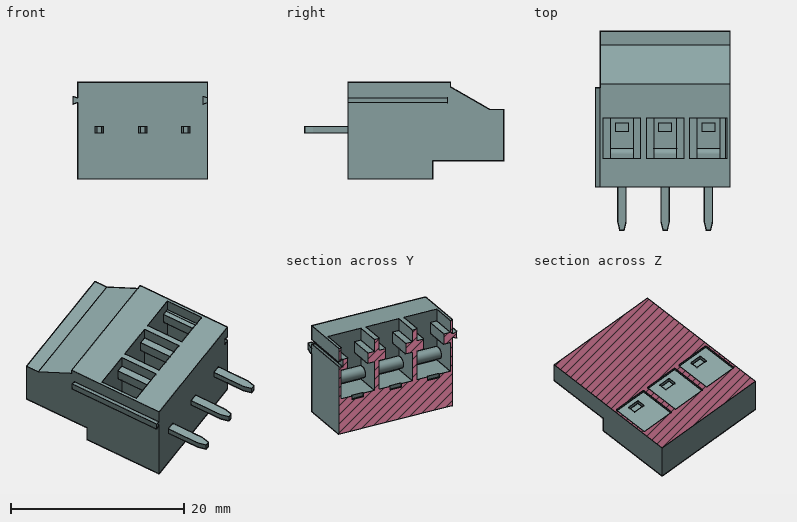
import cadquery as cq

pole_count = 3
pitch = 5.0
housing_width = 15.0
housing_depth = 18.0
housing_height = 11.2
undercut_height = 2.12
undercut_y = 9.82
shoulder_height = 8.05
slope_bottom_y = 16.4
slope_top_y = 11.87
slope_top_z = 10.65

dovetail_length = 11.48
dovetail_depth = 0.55
dovetail_center_z = 9.1
dovetail_root = 0.55
dovetail_tip = 0.92

first_pole_x = 2.5
pin_width = 1.0
pin_thickness = 0.78
pin_z = 5.7
pin_length = 5.0
pin_taper_length = 1.0
pin_tip_width = 0.5

pocket_width = 4.32
pocket_front_y = 3.31
pocket_length = 4.65
pocket_floor_z = 4.6
guide_width = 0.85
guide_top_z = 9.65
guide_bottom_z = 8.25

tongue_flat_length = 0.45
tongue_nose_radius = 0.67

recess_width = 1.5
recess_length = 1.01
recess_depth = 0.45
recess_center_y = 6.9


def block(width, length, bottom, top, x, y):
    """Box centred on x and y that spans bottom to top."""
    return (
        cq.Workplane("XY", origin=(x, y, bottom))
        .rect(width, length)
        .extrude(top - bottom)
    )


def housing():
    profile = [
        (0, 0),
        (undercut_y, 0),
        (undercut_y, undercut_height),
        (housing_depth, undercut_height),
        (housing_depth, shoulder_height),
        (slope_bottom_y, shoulder_height),
        (slope_top_y, slope_top_z),
        (slope_top_y, housing_height),
        (0, housing_height),
    ]
    return cq.Workplane("YZ").polyline(profile).close().extrude(housing_width)


def dovetail(root_x):
    """Dovetail bar that widens from root_x towards -X."""
    tip_x = root_x - dovetail_depth
    outline = [
        (root_x, dovetail_center_z - dovetail_root / 2),
        (root_x, dovetail_center_z + dovetail_root / 2),
        (tip_x, dovetail_center_z + dovetail_tip / 2),
        (tip_x, dovetail_center_z - dovetail_tip / 2),
    ]
    return cq.Workplane("XZ").polyline(outline).close().extrude(-dovetail_length)


def pin(x):
    taper_y = pin_taper_length - pin_length
    outline = [
        (x - pin_width / 2, 0),
        (x - pin_width / 2, taper_y),
        (x - pin_tip_width / 2, -pin_length),
        (x + pin_tip_width / 2, -pin_length),
        (x + pin_width / 2, taper_y),
        (x + pin_width / 2, 0),
    ]
    base = cq.Workplane("XY", origin=(0, 0, pin_z - pin_thickness / 2))
    return base.polyline(outline).close().extrude(pin_thickness)


def tongue(x):
    """Tongue level with the pin and as wide as the pocket."""
    nose_center_y = pocket_front_y + tongue_flat_length
    return (
        cq.Workplane("YZ", origin=(x - pocket_width / 2, 0, pin_z))
        .moveTo(pocket_front_y, -tongue_nose_radius)
        .lineTo(nose_center_y, -tongue_nose_radius)
        .threePointArc(
            (nose_center_y + tongue_nose_radius, 0),
            (nose_center_y, tongue_nose_radius),
        )
        .lineTo(pocket_front_y, tongue_nose_radius)
        .close()
        .extrude(pocket_width)
    )


def pocket(x):
    """Everything removed for one pocket: the well less its guide bars and tongue."""
    center_y = pocket_front_y + pocket_length / 2
    well = block(pocket_width, pocket_length, pocket_floor_z, housing_height, x, center_y)

    guide_offset = (pocket_width - guide_width) / 2
    for guide_x in (x - guide_offset, x + guide_offset):
        well = well.cut(
            block(guide_width, pocket_length, guide_bottom_z, guide_top_z, guide_x, center_y)
        )

    recess = block(
        recess_width,
        recess_length,
        pocket_floor_z - recess_depth,
        pocket_floor_z,
        x,
        recess_center_y,
    )
    return well.cut(tongue(x)).union(recess)


result = housing().union(dovetail(0)).cut(dovetail(housing_width))
for pole in range(pole_count):
    pole_x = first_pole_x + pole * pitch
    result = result.union(pin(pole_x)).cut(pocket(pole_x))